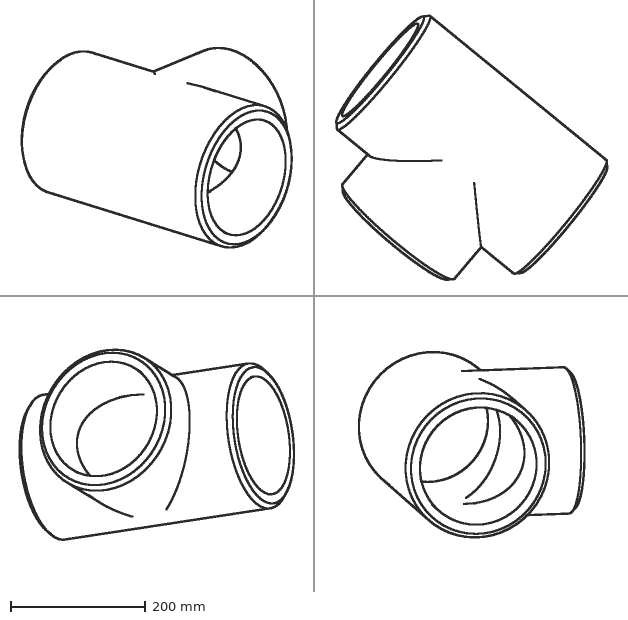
import cadquery as cq

run_length = 355.5
outer_diameter = 219.0
bore_diameter = 177.8
end_chamfer = 6.8
branch_length = run_length / 2


def run_cylinder(diameter):
    """Cylinder along X, centred on the origin."""
    return cq.Workplane("YZ").circle(diameter / 2).extrude(run_length / 2, both=True)


def branch_cylinder(diameter):
    """Cylinder from the run axis out to the branch end at +Y."""
    return cq.Workplane("XZ").circle(diameter / 2).extrude(-branch_length)


run_body = run_cylinder(outer_diameter).faces("<X or >X").edges().chamfer(end_chamfer)
branch_body = branch_cylinder(outer_diameter).faces(">Y").edges().chamfer(end_chamfer)
body = run_body.union(branch_body)

result = body.cut(run_cylinder(bore_diameter)).cut(branch_cylinder(bore_diameter))